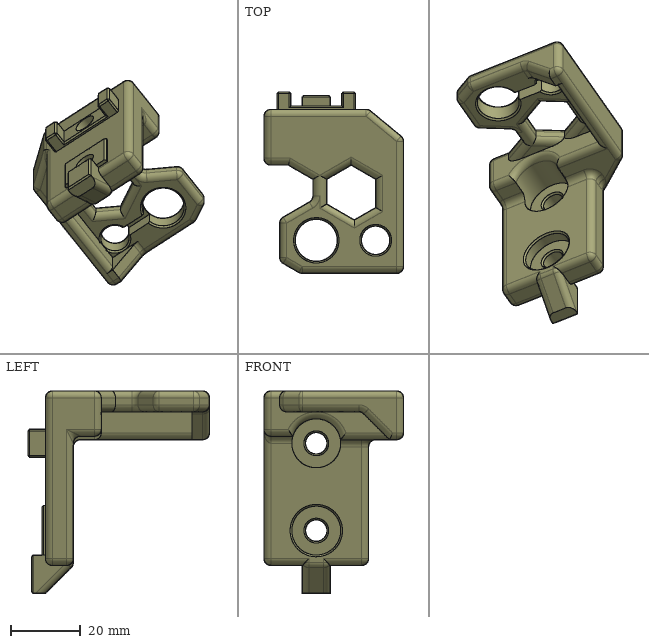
import cadquery as cq
import math

PLATE_WIDTH = 30.0
PLATE_HEIGHT = 50.0
PLATE_DEPTH = 8.0
LEFT = -PLATE_WIDTH / 2
RIGHT = PLATE_WIDTH / 2

EDGE_RADIUS = 2.0
SMALL_CHAMFER = 0.5

ARM_RIGHT = 25.0
ARM_FRONT = -47.0
ARM_THICKNESS = 6.0
ARM_BOTTOM = PLATE_HEIGHT - ARM_THICKNESS
CORNER_CUT_DEPTH = 8.25

BLOCK_FRONT = -16.0
BLOCK_BOTTOM = 36.0
LEFT_BLOCK_BOTTOM = 37.0

WALL_THICKNESS = 4.0
WALL_INNER_RADIUS = EDGE_RADIUS - 0.01
WALL_INNER = ARM_RIGHT - WALL_THICKNESS
GUSSET_LEFT = 13.0
GUSSET_THICKNESS = 5.0
GUSSET_REAR = ARM_FRONT + GUSSET_THICKNESS

ARM_HOLES_Y = -37.5
LARGE_HOLE_X = 0.0
LARGE_HOLE_DIAMETER = 12.0
SMALL_HOLE_X = 17.0
SMALL_HOLE_DIAMETER = 8.1

SLOT_WIDTH = 3.0
SLOT_ROOF = 0.75

SLOPE_30 = math.tan(math.radians(30))
HEX_APOTHEM = 7.0
HEX_RADIUS = HEX_APOTHEM / math.cos(math.radians(30))
HEX_WALL = 4.0
HEX_X = 10.0
HEX_Y = BLOCK_FRONT - HEX_RADIUS
NOTCH_X = HEX_X - 2 * HEX_APOTHEM - HEX_WALL
NOTCH_RIGHT = NOTCH_X + HEX_APOTHEM

BOSS_APOTHEM = 10.5
BOSS_RADIUS = BOSS_APOTHEM / math.cos(math.radians(30))
BOSS_TOP = ARM_HOLES_Y + BOSS_RADIUS
BOSS_LEFT = LARGE_HOLE_X - BOSS_APOTHEM

SCREW_DIAMETER = 6.1
COUNTERBORE_DIAMETER = 14.0
COUNTERBORE_DEPTH = 3.5
COUNTERBORE_FLOOR = COUNTERBORE_DEPTH - PLATE_DEPTH
LOWER_SCREW_Z = 10.0
UPPER_SCREW_Z = 35.0

KEY_WIDTH = 8.1
TAB_OUTER = 11.25
TAB_THICKNESS = 4.0
TAB_INNER = TAB_OUTER - TAB_THICKNESS
TAB_REACH = 5.0
PAD_REACH = 1.0
PAD_TOP = LOWER_SCREW_Z + TAB_INNER
HOOK_REACH = 4.0
HOOK_TOP = 3.0
HOOK_BOTTOM = -8.0

EMBED = 1.0
PICK_MARGIN = 1.0


def box(x, y, z):
    """Box from (low, high) pairs along each axis."""
    size = [high - low for low, high in (x, y, z)]
    return cq.Workplane("XY").box(*size, centered=False).translate((x[0], y[0], z[0]))


def prism(outline, bottom, top):
    """Vertical prism over an XY outline."""
    return cq.Workplane("XY", origin=(0, 0, bottom)).polyline(outline).close().extrude(top - bottom)


def bore(diameter, front, back, z):
    """Cylinder along Y on the plate's centre line."""
    return cq.Workplane("XZ", origin=(0, back, z)).circle(diameter / 2).extrude(back - front)


def edges_in(solid, x, y, z):
    """Straight edges whose midpoint lies within (low, high) ranges along each axis."""
    tolerance = 0.01
    midpoint = 0.5
    picked = []
    for edge in solid.edges("%LINE").vals():
        middle = edge.positionAt(midpoint).toTuple()
        ranges = zip(middle, (x, y, z))
        if all(low - tolerance <= value <= high + tolerance for value, (low, high) in ranges):
            picked.append(edge)
    return picked


def upright_edges(solid, corners):
    """Vertical edges that stand on the given XY corners."""
    picked = []
    for x, y in corners:
        picked += edges_in(solid.edges("|Z"), (x, x), (y, y), (0, PLATE_HEIGHT))
    return picked


def arm_outline():
    """Arm outline: notch, boss flats, front edge, right side, cut rear corner."""
    front_flat_start = LARGE_HOLE_X - (ARM_FRONT - ARM_HOLES_Y + BOSS_RADIUS) / SLOPE_30
    return [
        (LEFT, BLOCK_FRONT),
        (NOTCH_X, BLOCK_FRONT),
        (NOTCH_RIGHT, HEX_Y + HEX_RADIUS / 2),
        (NOTCH_RIGHT, BOSS_TOP + (NOTCH_RIGHT - LARGE_HOLE_X) * SLOPE_30),
        (BOSS_LEFT, ARM_HOLES_Y + BOSS_RADIUS / 2),
        (BOSS_LEFT, ARM_HOLES_Y - BOSS_RADIUS / 2),
        (front_flat_start, ARM_FRONT),
        (ARM_RIGHT, ARM_FRONT),
        (ARM_RIGHT, -CORNER_CUT_DEPTH),
        (RIGHT, 0),
        (LEFT, 0),
    ]


def hex_outline():
    """Hexagon whose lower-left side is moved in to follow the boss hexagon."""
    left = HEX_X - HEX_APOTHEM
    right = HEX_X + HEX_APOTHEM
    left_bottom = BOSS_TOP - (left - LARGE_HOLE_X) * SLOPE_30
    right_bottom = HEX_Y - HEX_RADIUS / 2
    bottom_x = (left + right) / 2 + (left_bottom - right_bottom) / (2 * SLOPE_30)
    bottom_y = right_bottom - (right - bottom_x) * SLOPE_30
    return [
        (HEX_X, HEX_Y + HEX_RADIUS),
        (left, HEX_Y + HEX_RADIUS / 2),
        (left, left_bottom),
        (bottom_x, bottom_y),
        (right, right_bottom),
        (right, HEX_Y + HEX_RADIUS / 2),
    ]


def side_wall():
    wall = box(
        (WALL_INNER, ARM_RIGHT),
        (GUSSET_REAR, BLOCK_FRONT),
        (BLOCK_BOTTOM, PLATE_HEIGHT),
    )
    return wall.edges("|Y and <X and <Z").fillet(WALL_INNER_RADIUS)


def gusset():
    drop = ARM_BOTTOM - BLOCK_BOTTOM
    profile = [
        (GUSSET_LEFT, ARM_BOTTOM),
        (GUSSET_LEFT + drop, BLOCK_BOTTOM),
        (ARM_RIGHT, BLOCK_BOTTOM),
        (ARM_RIGHT, ARM_BOTTOM),
    ]
    sketch = cq.Workplane("XZ", origin=(0, GUSSET_REAR, 0)).polyline(profile).close()
    return sketch.extrude(GUSSET_THICKNESS)


def head():
    """Arm, block, side wall and gusset with their outer edges rounded."""
    outline = arm_outline()
    block_outline = [
        (0, 0),
        (0, BLOCK_FRONT),
        (ARM_RIGHT, BLOCK_FRONT),
        (ARM_RIGHT, -CORNER_CUT_DEPTH),
        (RIGHT, 0),
    ]
    left_block = box((LEFT, 0), (BLOCK_FRONT, 0), (LEFT_BLOCK_BOTTOM, PLATE_HEIGHT))
    raw = prism(outline, ARM_BOTTOM, PLATE_HEIGHT)
    raw = raw.union(prism(block_outline, BLOCK_BOTTOM, PLATE_HEIGHT)).union(left_block)
    raw = raw.union(side_wall()).union(gusset())
    raw = raw.cut(bore(COUNTERBORE_DIAMETER, BLOCK_FRONT, 0, UPPER_SCREW_Z))

    sharp_corners = outline[1:3]
    rounded_corners = [corner for corner in outline if corner not in sharp_corners]
    below_arm = (BLOCK_BOTTOM, ARM_BOTTOM)
    block_bottoms = (BLOCK_BOTTOM, LEFT_BLOCK_BOTTOM)
    across = (LEFT, ARM_RIGHT)
    notch_limit = BLOCK_FRONT - EDGE_RADIUS / 2
    rounded = raw.faces(">Z").edges().vals()
    rounded += upright_edges(raw, rounded_corners)
    underside = (ARM_BOTTOM, ARM_BOTTOM)
    rounded += edges_in(raw, (LEFT, GUSSET_LEFT), (ARM_FRONT, notch_limit), underside)
    front = (ARM_FRONT, ARM_FRONT)
    rounded += edges_in(raw.edges("not |Z"), (GUSSET_LEFT, ARM_RIGHT), front, below_arm)
    rounded += edges_in(raw, (ARM_RIGHT, ARM_RIGHT), (ARM_FRONT, 0), block_bottoms)
    rounded += edges_in(raw, (RIGHT, ARM_RIGHT), (-CORNER_CUT_DEPTH, 0), block_bottoms)
    rounded += edges_in(raw, across, (BLOCK_FRONT, BLOCK_FRONT), block_bottoms)
    rounded += edges_in(raw, (LEFT, LEFT), (BLOCK_FRONT, 0), block_bottoms)
    return raw.newObject(rounded).fillet(EDGE_RADIUS)


def plate():
    blank = box((LEFT, RIGHT), (-PLATE_DEPTH, 0), (0, ARM_BOTTOM))
    return blank.edges("|Z or <Z").fillet(EDGE_RADIUS)


def body():
    """Plate and head joined, with the inner corner between them filled."""
    joined = plate().union(head())
    corner = edges_in(
        joined.edges("|X"),
        (LEFT, RIGHT),
        (-PLATE_DEPTH, -PLATE_DEPTH),
        (BLOCK_BOTTOM, LEFT_BLOCK_BOTTOM),
    )
    return joined.newObject(corner).fillet(EDGE_RADIUS)


def hex_cutter():
    """Hexagonal opening whose rims round over into the arm's top and bottom."""
    margin = 2 * EDGE_RADIUS
    x_range = (HEX_X - HEX_RADIUS - margin, HEX_X + HEX_RADIUS + margin)
    y_range = (HEX_Y - HEX_RADIUS - margin, HEX_Y + HEX_RADIUS + margin)
    slab = box(x_range, y_range, (ARM_BOTTOM, PLATE_HEIGHT))
    opening = prism(hex_outline(), ARM_BOTTOM, PLATE_HEIGHT)
    inside = cq.selectors.BoxSelector(
        (HEX_X - HEX_RADIUS, HEX_Y - HEX_RADIUS - PICK_MARGIN, ARM_BOTTOM - PICK_MARGIN),
        (HEX_X + HEX_RADIUS, HEX_Y + HEX_RADIUS + PICK_MARGIN, PLATE_HEIGHT + PICK_MARGIN),
    )
    rims = slab.cut(opening).edges(inside).edges("#Z")
    flared = slab.cut(rims.fillet(EDGE_RADIUS))
    lower_rim = (ARM_BOTTOM, ARM_BOTTOM + EDGE_RADIUS)
    behind_block_front = box(x_range, (BLOCK_FRONT, y_range[1]), lower_rim)
    return flared.cut(behind_block_front)


def counterbore_mouth():
    """Rounding where the upper counterbore breaks through the block's front."""
    radius = COUNTERBORE_DIAMETER / 2
    profile = (
        cq.Workplane("XY", origin=(0, 0, UPPER_SCREW_Z))
        .moveTo(0, BLOCK_FRONT)
        .lineTo(radius + EDGE_RADIUS, BLOCK_FRONT)
        .radiusArc((radius, BLOCK_FRONT + EDGE_RADIUS), EDGE_RADIUS)
        .lineTo(0, BLOCK_FRONT + EDGE_RADIUS)
        .close()
    )
    return profile.revolve(360, (0, 0, 0), (0, 1, 0))


def chamfer_cone(diameter):
    """Cone along +Z, wide end at z = 0, that chamfers the rim of a hole."""
    radius = diameter / 2
    return cq.Workplane("XY").add(cq.Solid.makeCone(radius + SMALL_CHAMFER, radius, SMALL_CHAMFER))


def bore_rim(diameter, y, z):
    """Chamfer for the rim of a bore that enters the part at y."""
    return chamfer_cone(diameter).rotate((0, 0, 0), (1, 0, 0), -90).translate((0, y, z))


def screw_hole(z):
    hole = bore(SCREW_DIAMETER, -PLATE_DEPTH, TAB_REACH, z)
    counterbore = bore(COUNTERBORE_DIAMETER, BLOCK_FRONT, COUNTERBORE_FLOOR, z)
    return hole.union(counterbore).union(bore_rim(SCREW_DIAMETER, COUNTERBORE_FLOOR, z))


def arm_hole(x, diameter):
    """Hole through the arm with both rims chamfered."""
    hole = cq.Workplane("XY").circle(diameter / 2).extrude(ARM_THICKNESS)
    lower_rim = chamfer_cone(diameter)
    upper_rim = lower_rim.mirror("XY").translate((0, 0, ARM_THICKNESS))
    cutter = hole.union(lower_rim).union(upper_rim)
    return cutter.translate((x, ARM_HOLES_Y, ARM_BOTTOM))


def hole_slot():
    return box(
        (LARGE_HOLE_X, SMALL_HOLE_X),
        (ARM_HOLES_Y - SLOT_WIDTH / 2, ARM_HOLES_Y + SLOT_WIDTH / 2),
        (ARM_BOTTOM, PLATE_HEIGHT - SLOT_ROOF),
    )


def tabs():
    """Two tabs joined by a low bridge, around the upper screw hole."""
    outline = [
        (-TAB_OUTER, -EMBED),
        (-TAB_OUTER, TAB_REACH),
        (-TAB_INNER, TAB_REACH),
        (-TAB_INNER, PAD_REACH),
        (TAB_INNER, PAD_REACH),
        (TAB_INNER, TAB_REACH),
        (TAB_OUTER, TAB_REACH),
        (TAB_OUTER, -EMBED),
    ]
    blank = prism(outline, UPPER_SCREW_Z - KEY_WIDTH / 2, UPPER_SCREW_Z + KEY_WIDTH / 2)
    return blank.edges("#Z or (|Z and >Y)").chamfer(SMALL_CHAMFER)


def pad():
    blank = box((-TAB_INNER, TAB_INNER), (-EMBED, PAD_REACH), (HOOK_TOP, PAD_TOP))
    return blank.faces(">Y").edges("not <Z").chamfer(SMALL_CHAMFER)


def hook():
    """Foot below the plate with a 45 degree underside."""
    profile = [
        (HOOK_REACH, HOOK_TOP),
        (HOOK_REACH, HOOK_BOTTOM),
        (0, HOOK_BOTTOM),
        (-PLATE_DEPTH, HOOK_BOTTOM + PLATE_DEPTH),
        (-PLATE_DEPTH, HOOK_TOP),
    ]
    blank = cq.Workplane("YZ").polyline(profile).close().extrude(KEY_WIDTH / 2, both=True)
    slope = blank.faces("<Y").edges("|Z").vals()
    slope += blank.faces("<Y").edges("<Z").vals()
    slope += edges_in(
        blank.edges("not |X"),
        (-KEY_WIDTH / 2, KEY_WIDTH / 2),
        (-PLATE_DEPTH / 2, -PLATE_DEPTH / 2),
        (HOOK_BOTTOM, 0),
    )
    rounded = blank.newObject(slope).fillet(EDGE_RADIUS)
    return rounded.faces(">Y").edges().chamfer(SMALL_CHAMFER)


result = body().cut(hex_cutter()).cut(counterbore_mouth())
result = result.cut(arm_hole(LARGE_HOLE_X, LARGE_HOLE_DIAMETER))
result = result.cut(arm_hole(SMALL_HOLE_X, SMALL_HOLE_DIAMETER))
result = result.cut(hole_slot())
result = result.union(tabs()).union(pad()).union(hook())

for screw_z in (LOWER_SCREW_Z, UPPER_SCREW_Z):
    result = result.cut(screw_hole(screw_z))

result = result.cut(bore_rim(COUNTERBORE_DIAMETER, -PLATE_DEPTH, LOWER_SCREW_Z))